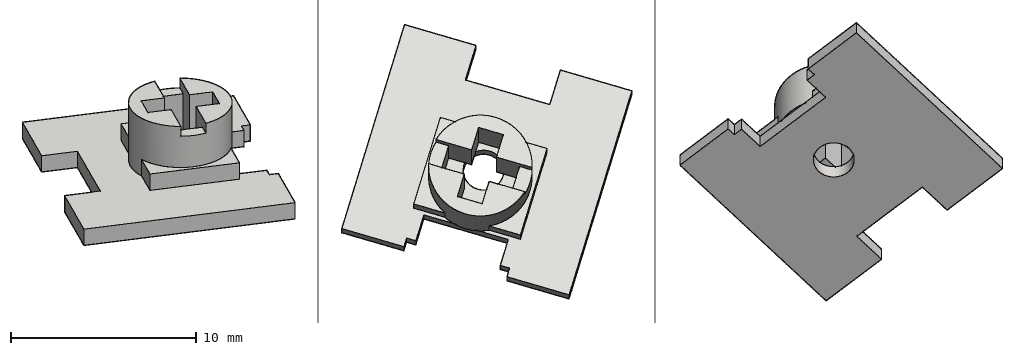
import cadquery as cq

plate_length = 12.8
plate_width = 11.8
plate_thickness = 1.0

notch_width = 4.75
notch_depth = 2.0
mouth_width = 5.8
mouth_depth = 0.5

total_height = 4.5
socket_center_y = 1.2
socket_diameter = 5.6
pad_length = 6.0
pad_width = 5.0
pad_height = plate_thickness

cross_span = 4.0
cross_arm_width = 1.4
rim_slot_depth = 0.6

hole_diameter = 2.2
hole_center_y = socket_center_y / 2

socket_height = total_height - plate_thickness


def block(length, width, height, center_y, bottom_z):
    """Box centred on X = 0, rising from bottom_z."""
    box = cq.Workplane("XY").box(length, width, height, centered=(True, True, False))
    return box.translate((0, center_y, bottom_z))


def edge_notch(width, depth, side):
    """Cutter for a notch in the +Y (side = 1) or -Y (side = -1) plate edge."""
    center_y = side * (plate_width - depth) / 2
    return block(width, depth, plate_thickness, center_y, 0)


def make_plate():
    plate = block(plate_length, plate_width, plate_thickness, 0, 0)
    for side in (-1, 1):
        plate = plate.cut(edge_notch(notch_width, notch_depth, side))
    return plate.cut(edge_notch(mouth_width, mouth_depth, 1))


def make_socket():
    pad = block(pad_length, pad_width, pad_height, socket_center_y, plate_thickness)
    barrel = (
        cq.Workplane("XY", origin=(0, socket_center_y, plate_thickness))
        .circle(socket_diameter / 2)
        .extrude(socket_height)
    )
    return pad.union(barrel)


def make_cross_pocket():
    """Cutter for the cross, whose floor is the top face of the plate."""
    arm_x = block(cross_span, cross_arm_width, socket_height, socket_center_y, plate_thickness)
    arm_y = block(cross_arm_width, cross_span, socket_height, socket_center_y, plate_thickness)
    return arm_x.union(arm_y)


def make_rim_slot():
    slot_floor_z = total_height - rim_slot_depth
    return block(socket_diameter, cross_arm_width, rim_slot_depth, socket_center_y, slot_floor_z)


def make_plate_hole():
    return (
        cq.Workplane("XY", origin=(0, hole_center_y, 0))
        .circle(hole_diameter / 2)
        .extrude(plate_thickness)
    )


result = (
    make_plate()
    .union(make_socket())
    .cut(make_cross_pocket())
    .cut(make_rim_slot())
    .cut(make_plate_hole())
)